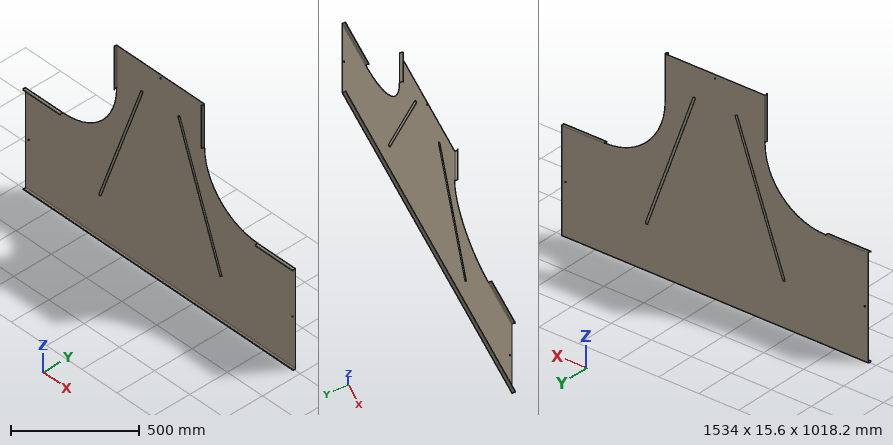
import cadquery as cq
import math

sheet = 1.2
duct_width = 500.0
corner_radius = 300.0
straight = 217.0
depth = 15.61

flange_length = 213.0
bend_radius = 3.2
lip_width = 5.0

hole_diameter = 5.0
hole_inset = 18.0

bead_width = 12.0
bead_height = 4.0
bead_lower = (343.0, 217.0)
bead_upper = (106.0, 868.0)

half_width = duct_width / 2
corner_x = half_width + corner_radius
half_length = corner_x + straight
corner_z = duct_width + corner_radius
top = corner_z + straight
front = sheet - depth
inner_radius = bend_radius - sheet
bead_radius = (bead_width**2 / 4 + bead_height**2) / (2 * bead_height)
bead_axis_y = bead_radius - bead_height


def front_plane(y):
    """Sketch plane facing -Y, with local x along X and local y along Z."""
    return cq.Workplane("XZ", origin=(0, y, 0))


def make_sheet():
    """Flat tee with concave round corners."""
    arc_x = corner_x - corner_radius * math.sqrt(0.5)
    arc_z = corner_z - corner_radius * math.sqrt(0.5)
    return (
        front_plane(sheet)
        .moveTo(-half_length, 0)
        .lineTo(half_length, 0)
        .lineTo(half_length, duct_width)
        .lineTo(corner_x, duct_width)
        .threePointArc((arc_x, arc_z), (half_width, corner_z))
        .lineTo(half_width, top)
        .lineTo(-half_width, top)
        .lineTo(-half_width, corner_z)
        .threePointArc((-arc_x, arc_z), (-corner_x, duct_width))
        .lineTo(-half_length, duct_width)
        .close()
        .extrude(sheet)
    )


def edge_sketch(edge_centre, outward):
    """Section plane across a straight sheet edge.

    edge_centre is the middle of the edge on the front face of the sheet and outward the
    direction away from the sheet. Local x is outward and local y is Y.
    """
    along = cq.Vector(*outward).cross(cq.Vector(0, 1, 0))
    return cq.Workplane(cq.Plane(origin=edge_centre, xDir=outward, normal=along.toTuple()))


def add_flange(body, edge_centre, outward, length):
    """Replace a straight sheet edge by a bend, a flange of the full depth and a lip."""
    outer = sheet
    inner = outer - sheet
    bend_x = outer - bend_radius
    bend_y = sheet - bend_radius
    lip_y = front + bend_radius
    lip_x = outer - lip_width
    outer_reach = bend_radius * math.sqrt(0.5)
    inner_reach = inner_radius * math.sqrt(0.5)
    flange = (
        edge_sketch(edge_centre, outward)
        .moveTo(bend_x, 0)
        .lineTo(bend_x, sheet)
        .threePointArc((bend_x + outer_reach, bend_y + outer_reach), (outer, bend_y))
        .lineTo(outer, lip_y)
        .threePointArc((bend_x + outer_reach, lip_y - outer_reach), (bend_x, front))
        .lineTo(lip_x, front)
        .lineTo(lip_x, front + sheet)
        .lineTo(bend_x, front + sheet)
        .threePointArc((bend_x + inner_reach, lip_y - inner_reach), (inner, lip_y))
        .lineTo(inner, bend_y)
        .threePointArc((bend_x + inner_reach, bend_y + inner_reach), (bend_x, 0))
        .close()
        .extrude(length / 2, both=True)
    )
    square_edge = (
        edge_sketch(edge_centre, outward)
        .moveTo(bend_x, 0)
        .rect(bend_radius, sheet, centered=False)
        .extrude(length / 2, both=True)
    )
    return body.cut(square_edge).union(flange)


def add_flanges(body):
    """Flanges along all straight edges except the three open ends."""
    body = add_flange(body, (0, 0, 0), (0, 0, -1), 2 * half_length)
    for side in (-1, 1):
        run_centre = (side * (half_length - flange_length / 2), 0, duct_width)
        branch_centre = (side * half_width, 0, top - flange_length / 2)
        body = add_flange(body, run_centre, (0, 0, 1), flange_length)
        body = add_flange(body, branch_centre, (side, 0, 0), flange_length)
    return body


def make_bead(side):
    """Sloping bead with an arc section and domed ends; side is -1 for left, 1 for right."""
    lower = cq.Vector(side * bead_lower[0], bead_axis_y, bead_lower[1])
    upper = cq.Vector(side * bead_upper[0], bead_axis_y, bead_upper[1])
    axis = upper - lower
    bead = cq.Workplane(cq.Solid.makeCylinder(bead_radius, axis.Length, lower, axis))
    for end in (lower, upper):
        bead = bead.union(cq.Workplane("XY").sphere(bead_radius).translate(end))
    behind_face = front_plane(2 * bead_radius).rect(2 * half_length, 2 * top).extrude(2 * bead_radius)
    return bead.cut(behind_face)


def make_holes():
    """Fixing holes near the open end of each arm."""
    end_x = half_length - hole_inset
    centres = [(-end_x, half_width), (end_x, half_width), (0, top - hole_inset)]
    return front_plane(sheet).pushPoints(centres).circle(hole_diameter / 2).extrude(sheet)


result = add_flanges(make_sheet())
for side in (-1, 1):
    result = result.union(make_bead(side))
result = result.cut(make_holes())